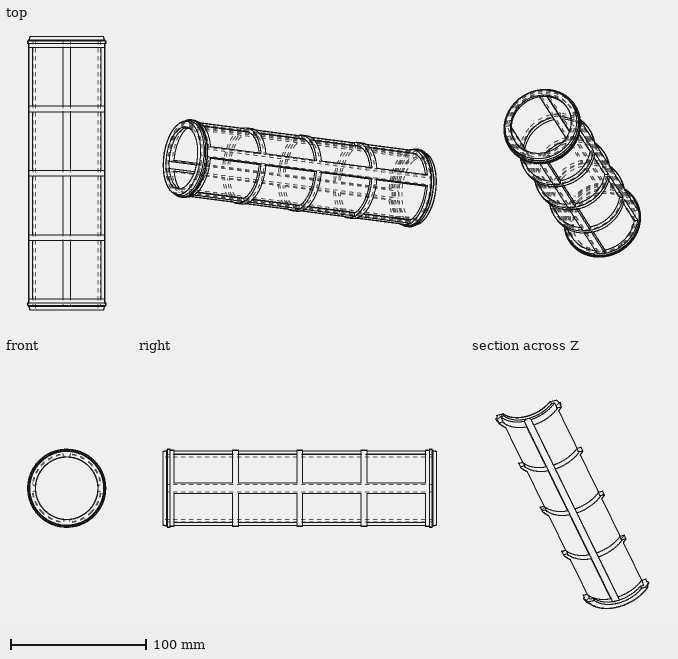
import cadquery as cq

LENGTH = 202.0
BORE_DIAMETER = 46.0

COLLAR_END_DIAMETER = 54.5
COLLAR_ROOT_DIAMETER = 55.7
FLANGE_DIAMETER = 57.8
LIP_LENGTH = 2.6
FLANGE_BEVEL_END = 3.5
FLANGE_BACK = 5.0
COLLAR_LENGTH = 8.0

SCREEN_OUTER_DIAMETER = 51.0
SCREEN_INNER_DIAMETER = 50.0

FRAME_DIAMETER = 56.3
HOOP_COUNT = 3
HOOP_WIDTH = 4.2
SIDE_RIB_WIDTH = 8.0
TOP_RIB_WIDTH = 5.7
BEAD_DIAMETER = 5.7
TOP_RIB_RADIUS = 27.7

bore_radius = BORE_DIAMETER / 2
frame_radius = FRAME_DIAMETER / 2
screen_outer_radius = SCREEN_OUTER_DIAMETER / 2
frame_length = LENGTH - 2 * COLLAR_LENGTH
lip_spacing = LENGTH - 2 * LIP_LENGTH
window_length = (frame_length - HOOP_COUNT * HOOP_WIDTH) / (HOOP_COUNT + 1)
hoop_pitch = window_length + HOOP_WIDTH


def cylinder(diameter, length, y_center=0):
    """Solid cylinder along Y, centered at y_center."""
    start = cq.Workplane("XZ", origin=(0, y_center + length / 2, 0))
    return start.circle(diameter / 2).extrude(length)


def tube(outer_diameter, inner_diameter, length, y_center=0):
    """Hollow cylinder along Y, centered at y_center."""
    return cylinder(outer_diameter, length, y_center).cut(cylinder(inner_diameter, length, y_center))


def end_collar():
    """Collar at the -Y end: a slight taper and a beveled flange outside and a short lip inside."""
    flange_radius = FLANGE_DIAMETER / 2
    end = -LENGTH / 2
    return (
        cq.Workplane("XY")
        .moveTo(bore_radius, end)
        .lineTo(COLLAR_END_DIAMETER / 2, end)
        .lineTo(COLLAR_ROOT_DIAMETER / 2, end + LIP_LENGTH)
        .lineTo(flange_radius, end + FLANGE_BEVEL_END)
        .lineTo(flange_radius, end + FLANGE_BACK)
        .lineTo(frame_radius, end + FLANGE_BACK)
        .lineTo(frame_radius, end + COLLAR_LENGTH)
        .lineTo(screen_outer_radius, end + COLLAR_LENGTH)
        .lineTo(screen_outer_radius, end + LIP_LENGTH)
        .lineTo(bore_radius, end + LIP_LENGTH)
        .close()
        .revolve(360, (0, 0, 0), (0, 1, 0))
    )


def lengthwise_rib(width, crest_radius, angle):
    """Rib between the end lips: a square bar outside the screen, a round bead inside it."""
    blank = cq.Workplane("XY").box(crest_radius, lip_spacing, width)
    blank = blank.translate((crest_radius / 2, 0, 0))
    bar = blank.intersect(tube(FRAME_DIAMETER, SCREEN_INNER_DIAMETER, lip_spacing))
    bead_center = bore_radius + BEAD_DIAMETER / 2
    bead = cylinder(BEAD_DIAMETER, lip_spacing).translate((bead_center, 0, 0))
    bead = bead.intersect(cylinder(SCREEN_OUTER_DIAMETER, lip_spacing))
    return bar.union(bead).rotate((0, 0, 0), (0, 1, 0), angle)


result = tube(SCREEN_OUTER_DIAMETER, SCREEN_INNER_DIAMETER, lip_spacing)

for index in range(HOOP_COUNT):
    hoop_center = (index - (HOOP_COUNT - 1) / 2) * hoop_pitch
    result = result.union(tube(FRAME_DIAMETER, SCREEN_OUTER_DIAMETER, HOOP_WIDTH, hoop_center))

collar = end_collar()
result = result.union(collar).union(collar.mirror("XZ"))

for angle in (0, 180):
    result = result.union(lengthwise_rib(SIDE_RIB_WIDTH, frame_radius, angle))
    result = result.union(lengthwise_rib(TOP_RIB_WIDTH, TOP_RIB_RADIUS, angle + 90))